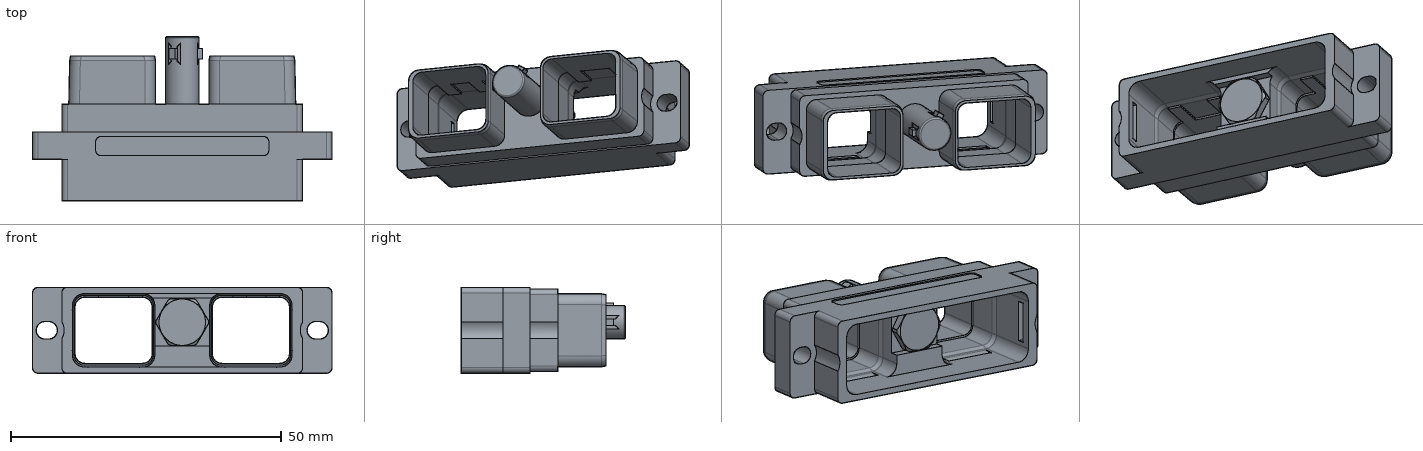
import cadquery as cq
import math

body_width = 44.55
body_height = 15.9
rear_height = 15.3
rear_y = 17.9
corner_radius = 1.05

flange_width = 55.4
flange_front_y = 7.7
flange_rear_y = 12.75

mount_x = 25.05
mount_slot_length = 3.9
mount_slot_width = 3.2
relief_x = 24.75
relief_radius = 2.95

compartment_x = 12.7
compartment_width = 15.25
compartment_height = 13.6
compartment_radius = 2.2
compartment_end_y = 10.55
cavity_width = 2 * compartment_x + compartment_width
septum_front_y = 5.95

funnel_end_y = 11.65
throat_width = 14.75
throat_height = 12.9
throat_radius = 2.0
opening_width = 14.25
opening_height = 12.2
opening_radius = 1.8

rib_width = 2.55
rib_offset = 4.05
shifted_rib_offset = 2.05
rib_centers = (
    -compartment_x - rib_offset,
    -compartment_x + rib_offset,
    compartment_x - shifted_rib_offset,
    compartment_x + rib_offset,
)

floor_groove_length = 9.55
floor_groove_front_y = 7.85
floor_groove_rear_y = 9.75
floor_groove_depth = 0.35
end_groove_front_y = 1.8
end_groove_rear_y = 3.15
end_groove_height = 7.55
end_groove_depth = 0.95

tube_inner_x = 4.95
tube_outer_x = 21.0
tube_height = 13.5
tube_radius = 2.0
tube_draft = 0.15
tube_bevel = 0.15
tube_bevel_y = 25.95
tube_end_y = 26.8

label_length = 32.0
label_front_y = 8.35
label_rear_y = 11.9
label_radius = 1.0
label_depth = 0.2

fitting_z = 1.5
head_flats = 8.65
head_turned_diameter = 9.65
head_face_diameter = 8.6
head_front_y = septum_front_y
head_rear_y = 7.65
head_chamfer_length = 0.35
head_slot_height = 8.85
head_slot_width = 12.2
shaft_radius = 3.1
shaft_end_y = 30.35
shaft_edge_radius = 0.3

peg_angles = (0, 120)
peg_tip_radius = 3.75
peg_width = 1.2
peg_y = 27.2
peg_length = 2.0
flat_radius = 2.8
flat_inner_length = 2.65
flat_outer_length = 3.95


def section(y, x=0.0, z=0.0):
    """Workplane parallel to XZ at depth y; negative extrusion runs toward +Y."""
    return cq.Workplane("XZ", origin=(x, y, z))


def box(x0, x1, y0, y1, z0, z1):
    return cq.Workplane("XY").box(x1 - x0, y1 - y0, z1 - z0, centered=False).translate((x0, y0, z0))


def rounded_block(width, height, radius, y0, y1, x=0.0):
    block = section(y0, x).rect(width, height).extrude(y0 - y1)
    return block.edges("|Y").fillet(radius)


def rounded_wire(width, height, radius, y, x=0.0):
    outline = section(y, x).rect(width, height).val()
    return outline.fillet2D(radius, outline.Vertices())


def ruled_loft(wires):
    return cq.Workplane(obj=cq.Solid.makeLoft(wires, True))


def both_sides(shape):
    return shape.union(shape.mirror("YZ"))


def housing_shell():
    front = rounded_block(body_width, body_height, corner_radius, 0, flange_rear_y)
    rear = rounded_block(body_width, rear_height, corner_radius, flange_front_y, rear_y)
    flange = rounded_block(flange_width, body_height, corner_radius, flange_front_y, flange_rear_y)
    return front.union(rear).cut(screw_reliefs()).union(flange).cut(mount_slots())


def screw_reliefs():
    return both_sides(section(0, relief_x).circle(relief_radius).extrude(-rear_y))


def mount_slots():
    slots = section(0).pushPoints([(-mount_x, 0), (mount_x, 0)])
    return slots.slot2D(mount_slot_length, mount_slot_width).extrude(-rear_y)


def rear_tubes():
    drafted_outer_x = tube_outer_x - tube_draft

    def tube_wire(outer_x, inset, y):
        width = outer_x - tube_inner_x - 2 * inset
        center = (outer_x + tube_inner_x) / 2
        return rounded_wire(width, tube_height - 2 * inset, tube_radius, y, center)

    tube = ruled_loft([
        tube_wire(tube_outer_x, 0, rear_y),
        tube_wire(drafted_outer_x, 0, tube_bevel_y),
        tube_wire(drafted_outer_x, tube_bevel, tube_end_y),
    ])
    return both_sides(tube)


def front_cavity():
    return rounded_block(cavity_width, compartment_height, compartment_radius, 0, septum_front_y)


def compartments():
    pocket = rounded_block(compartment_width, compartment_height, compartment_radius,
                           0, compartment_end_y, compartment_x)
    funnel = ruled_loft([
        rounded_wire(compartment_width, compartment_height, compartment_radius,
                     compartment_end_y, compartment_x),
        rounded_wire(throat_width, throat_height, throat_radius, funnel_end_y, compartment_x),
    ])
    throat = rounded_block(throat_width, throat_height, throat_radius,
                           funnel_end_y, rear_y, compartment_x)
    opening = rounded_block(opening_width, opening_height, opening_radius,
                            rear_y, tube_end_y, compartment_x)
    return both_sides(pocket.union(funnel).union(throat).union(opening)).cut(keying_ribs())


def keying_ribs():
    rib_height = (throat_height - opening_height) / 2
    rib_z = (throat_height + opening_height) / 4
    places = [(x, rib_z) for x in rib_centers]
    ribs = section(funnel_end_y).pushPoints(places).rect(rib_width, rib_height)
    return ribs.extrude(funnel_end_y - rear_y)


def latch_grooves():
    """Wedge grooves in the compartment floors, square grooves in the cavity end walls."""
    floor_z = -compartment_height / 2
    wedge = (
        cq.Workplane("YZ", origin=(compartment_x - floor_groove_length / 2, 0, 0))
        .polyline([
            (floor_groove_front_y, floor_z),
            (floor_groove_front_y, floor_z - floor_groove_depth),
            (floor_groove_rear_y, floor_z),
        ])
        .close()
        .extrude(floor_groove_length)
    )
    wall_x = cavity_width / 2
    end_groove = box(wall_x, wall_x + end_groove_depth, end_groove_front_y, end_groove_rear_y,
                     -end_groove_height / 2, end_groove_height / 2)
    return both_sides(wedge.union(end_groove))


def label_recess():
    top_z = body_height / 2
    recess = box(-label_length / 2, label_length / 2, label_front_y, label_rear_y,
                 top_z - label_depth, top_z)
    return recess.edges("|Z").fillet(label_radius)


def fitting_seat():
    """Bore for the shaft and a slot for the head, open at both ends into the compartments."""
    slot = section(septum_front_y, 0, fitting_z).rect(head_slot_width, head_slot_height)
    slot = slot.extrude(septum_front_y - head_rear_y)
    bore = section(septum_front_y, 0, fitting_z).circle(shaft_radius).extrude(septum_front_y - rear_y)
    return slot.union(bore)


def make_housing():
    housing = housing_shell().union(rear_tubes())
    for removed in (front_cavity(), compartments(), latch_grooves(), label_recess(), fitting_seat()):
        housing = housing.cut(removed)
    return housing


def fitting_head():
    length = head_rear_y - head_front_y
    vertex_diameter = head_flats / math.cos(math.radians(30))
    hexagon = section(head_front_y, 0, fitting_z).polygon(6, vertex_diameter).extrude(-length)
    turned_radius = head_turned_diameter / 2
    turned = (
        cq.Workplane("XY")
        .polyline([
            (0, head_front_y),
            (head_face_diameter / 2, head_front_y),
            (turned_radius, head_front_y + head_chamfer_length),
            (turned_radius, head_rear_y),
            (0, head_rear_y),
        ])
        .close()
        .revolve(360, (0, 0, 0), (0, 1, 0))
        .translate((0, 0, fitting_z))
    )
    return hexagon.intersect(turned)


def fitting_shaft():
    shaft = section(head_rear_y, 0, fitting_z).circle(shaft_radius).extrude(head_rear_y - shaft_end_y)
    return shaft.faces(">Y").edges().fillet(shaft_edge_radius)


def turned_to(shape, angle):
    """Turn a shape built beside the +X side of the fitting axis by an angle toward +Z."""
    return shape.rotate((0, 0, 0), (0, 1, 0), -angle).translate((0, 0, fitting_z))


def peg_flat_cutter():
    """Trapezoid cut on both sides of a peg, down to the flat."""
    outer_z = shaft_radius
    inner_z = peg_width / 2
    slope_z = math.sqrt(shaft_radius ** 2 - flat_radius ** 2)
    cutter = (
        cq.Workplane("YZ", origin=(flat_radius, 0, 0))
        .polyline([
            (peg_y - flat_inner_length / 2, inner_z),
            (peg_y - flat_outer_length / 2, slope_z),
            (peg_y - flat_outer_length / 2, outer_z),
            (peg_y + flat_outer_length / 2, outer_z),
            (peg_y + flat_outer_length / 2, slope_z),
            (peg_y + flat_inner_length / 2, inner_z),
        ])
        .close()
        .extrude(shaft_radius)
    )
    return cutter.union(cutter.mirror("XY"))


def make_fitting():
    fitting = fitting_head().union(fitting_shaft())
    peg = box(0, peg_tip_radius, peg_y - peg_length / 2, peg_y + peg_length / 2,
              -peg_width / 2, peg_width / 2)
    for angle in peg_angles:
        fitting = fitting.cut(turned_to(peg_flat_cutter(), angle))
        fitting = fitting.union(turned_to(peg, angle))
    return fitting


housing = make_housing()
fitting = make_fitting()
result = cq.Compound.makeCompound([housing.solids().val(), fitting.solids().val()])